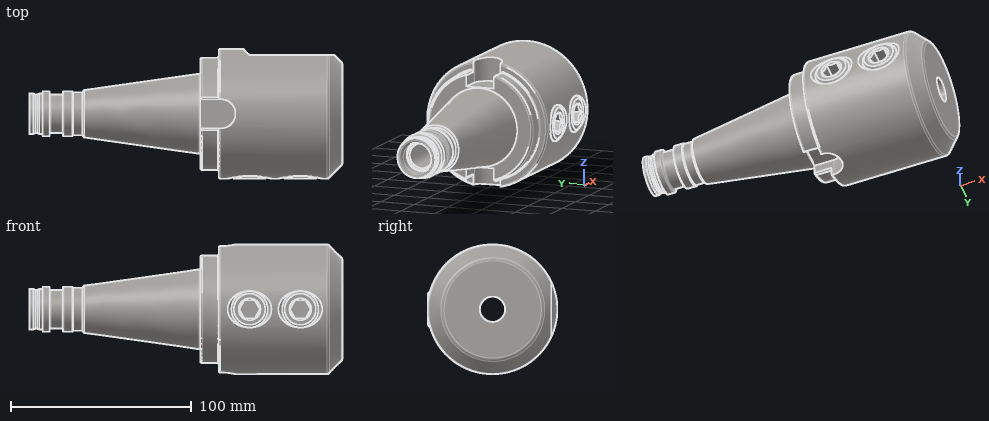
import cadquery as cq
import math

TOTAL_LENGTH = 173.4

TIP_RADIUS = 11.3
TIP_GROOVE_START = 2.0
TIP_GROOVE_END = 5.5
TIP_GROOVE_FLOOR_LENGTH = 1.0
TIP_GROOVE_DEPTH = 0.5
COLLAR_RADIUS = 12.5
COLLAR_EDGE_SIZE = 0.5
FRONT_COLLAR_START = 7.3
FRONT_COLLAR_END = 11.3
REAR_COLLAR_START = 18.5
REAR_COLLAR_END = 24.3
COLLAR_GROOVE_RADIUS = 10.8
NECK_RADIUS = 12.0
NECK_END = 29.3

TAPER_START = 30.3
GAUGE_PLANE = 93.8
GAUGE_RADIUS = 22.2
TAPER_START_RADIUS = 13.2

FLANGE_START = 94.7
FLANGE_RADIUS = 31.2
FLANGE_ROUNDING = 1.0
FLANGE_ROOT_FILLET = 0.5
BODY_START = 104.7
BODY_RADIUS = 35.98
BODY_ROUNDING = 1.0
NOSE_CONE_LENGTH = 8.0
NOSE_FACE_RADIUS = BODY_RADIUS - NOSE_CONE_LENGTH
NOSE_FILLET = 1.7
NOSE_FACE_FILLET = 2.6

BORE_RADIUS = 7.0
MOUTH_RADIUS = 8.5
MOUTH_LENGTH = 7.0
MOUTH_STEP_RADIUS = 7.8
MOUTH_FILLET = 1.5

SLOT_WIDTH = 16.1
SLOT_FLOOR = 22.5
SLOT_END = 114.1
SLOT_EDGE_CHAMFER = 1.4

FLAT_Y = 32.6
FLAT_START = 122.0
FLAT_RUNOUT_START = 118.6
FLAT_RUNOUT_RADIUS = 8.7

SCREW_POSITIONS = (121.9, 150.0)
SCREW_RADIUS = 10.0
SCREW_TOP_Y = -35.9
SCREW_LENGTH = 20.0
SCREW_CHAMFER = 1.4
HEX_ACROSS_FLATS = 10.0
HEX_DEPTH = 8.7
HEX_MOUTH_RADIUS = 6.0
SCREW_SINK_RADIUS = 12.1
SCREW_SINK_DEPTH = 1.5


def make_blank():
    groove_ramp = (TIP_GROOVE_END - TIP_GROOVE_START - TIP_GROOVE_FLOOR_LENGTH) / 2
    groove_floor = TIP_RADIUS - TIP_GROOVE_DEPTH
    size = COLLAR_EDGE_SIZE
    blank = (
        cq.Workplane("XY")
        .moveTo(0, 0)
        .lineTo(0, TIP_RADIUS)
        .lineTo(TIP_GROOVE_START, TIP_RADIUS)
        .lineTo(TIP_GROOVE_START + groove_ramp, groove_floor)
        .lineTo(TIP_GROOVE_END - groove_ramp, groove_floor)
        .lineTo(TIP_GROOVE_END, TIP_RADIUS)
        .lineTo(FRONT_COLLAR_START - size, TIP_RADIUS)
        .radiusArc((FRONT_COLLAR_START, TIP_RADIUS + size), -size)
        .lineTo(FRONT_COLLAR_START, COLLAR_RADIUS)
        .lineTo(FRONT_COLLAR_END - size, COLLAR_RADIUS)
        .radiusArc((FRONT_COLLAR_END, COLLAR_RADIUS - size), size)
        .lineTo(FRONT_COLLAR_END, COLLAR_GROOVE_RADIUS + size)
        .radiusArc((FRONT_COLLAR_END + size, COLLAR_GROOVE_RADIUS), -size)
        .lineTo(REAR_COLLAR_START - size, COLLAR_GROOVE_RADIUS)
        .radiusArc((REAR_COLLAR_START, COLLAR_GROOVE_RADIUS + size), -size)
        .lineTo(REAR_COLLAR_START, COLLAR_RADIUS - size)
        .radiusArc((REAR_COLLAR_START + size, COLLAR_RADIUS), size)
        .lineTo(REAR_COLLAR_END - size, COLLAR_RADIUS)
        .lineTo(REAR_COLLAR_END, NECK_RADIUS)
        .lineTo(NECK_END, NECK_RADIUS)
        .lineTo(TAPER_START, TAPER_START_RADIUS)
        .lineTo(GAUGE_PLANE, GAUGE_RADIUS)
        .lineTo(FLANGE_START, GAUGE_RADIUS)
        .lineTo(FLANGE_START, FLANGE_RADIUS - FLANGE_ROUNDING)
        .radiusArc((FLANGE_START + FLANGE_ROUNDING, FLANGE_RADIUS), FLANGE_ROUNDING)
        .lineTo(BODY_START - FLANGE_ROOT_FILLET, FLANGE_RADIUS)
        .radiusArc((BODY_START, FLANGE_RADIUS + FLANGE_ROOT_FILLET), -FLANGE_ROOT_FILLET)
        .lineTo(BODY_START, BODY_RADIUS - BODY_ROUNDING)
        .radiusArc((BODY_START + BODY_ROUNDING, BODY_RADIUS), BODY_ROUNDING)
        .lineTo(TOTAL_LENGTH - NOSE_CONE_LENGTH, BODY_RADIUS)
        .lineTo(TOTAL_LENGTH, NOSE_FACE_RADIUS)
        .lineTo(TOTAL_LENGTH, 0)
        .close()
        .revolve(360, (0, 0, 0), (1, 0, 0))
    )
    blank = blank.faces(">X").edges().fillet(NOSE_FACE_FILLET)
    return blank.edges(cq.selectors.RadiusNthSelector(-1)).edges(">X").fillet(NOSE_FILLET)


def cut_bore(body):
    bore = cq.Workplane("YZ").circle(BORE_RADIUS).extrude(TOTAL_LENGTH)
    cone_end = MOUTH_LENGTH + MOUTH_STEP_RADIUS - BORE_RADIUS
    mouth = (
        cq.Workplane("XY")
        .moveTo(0, 0)
        .lineTo(0, MOUTH_RADIUS + MOUTH_FILLET)
        .radiusArc((MOUTH_FILLET, MOUTH_RADIUS), -MOUTH_FILLET)
        .lineTo(MOUTH_LENGTH, MOUTH_RADIUS)
        .lineTo(MOUTH_LENGTH, MOUTH_STEP_RADIUS)
        .lineTo(cone_end, BORE_RADIUS)
        .lineTo(cone_end, 0)
        .close()
        .revolve(360, (0, 0, 0), (1, 0, 0))
    )
    return body.cut(bore).cut(mouth)


def make_drive_slot():
    """Slot above the axis with a half-round end and chamfered edges across the flange."""
    half_width = SLOT_WIDTH / 2
    straight_end = SLOT_END - half_width
    slot = (
        cq.Workplane("XY", origin=(0, 0, SLOT_FLOOR))
        .moveTo(FLANGE_START, -half_width)
        .lineTo(straight_end, -half_width)
        .threePointArc((SLOT_END, 0), (straight_end, half_width))
        .lineTo(FLANGE_START, half_width)
        .close()
        .extrude(BODY_RADIUS - SLOT_FLOOR)
    )
    chamfer = SLOT_EDGE_CHAMFER
    edge_z = math.sqrt(FLANGE_RADIUS**2 - half_width**2)
    edge_chamfers = (
        cq.Workplane("YZ", origin=(FLANGE_START, 0, 0))
        .moveTo(-half_width, edge_z - chamfer)
        .lineTo(-half_width - 2 * chamfer, edge_z + chamfer)
        .lineTo(half_width + 2 * chamfer, edge_z + chamfer)
        .lineTo(half_width, edge_z - chamfer)
        .close()
        .extrude(BODY_START - FLANGE_START)
    )
    return slot.union(edge_chamfers)


def cut_drive_slots(body):
    slot = make_drive_slot()
    return body.cut(slot).cut(slot.mirror("XY"))


def cut_balancing_flat(body):
    flat = (
        cq.Workplane("XY")
        .moveTo(FLAT_RUNOUT_START, BODY_RADIUS)
        .radiusArc((FLAT_START, FLAT_Y), -FLAT_RUNOUT_RADIUS)
        .lineTo(TOTAL_LENGTH, FLAT_Y)
        .lineTo(TOTAL_LENGTH, BODY_RADIUS)
        .close()
        .extrude(BODY_RADIUS, both=True)
    )
    return body.cut(flat)


def cut_screw_hole(body, x):
    """Blind hole for one screw, with a shallow countersink at the body surface."""
    hole_bottom = SCREW_TOP_Y + SCREW_LENGTH
    hole = (
        cq.Workplane("XY", origin=(x, 0, 0))
        .moveTo(0, -BODY_RADIUS)
        .lineTo(SCREW_SINK_RADIUS, -BODY_RADIUS)
        .lineTo(SCREW_RADIUS, -BODY_RADIUS + SCREW_SINK_DEPTH)
        .lineTo(SCREW_RADIUS, hole_bottom)
        .lineTo(0, hole_bottom)
        .close()
        .revolve(360, (0, 0, 0), (0, 1, 0))
    )
    return body.cut(hole)


def make_holder():
    body = cut_bore(make_blank())
    body = cut_drive_slots(body)
    body = cut_balancing_flat(body)
    for x in SCREW_POSITIONS:
        body = cut_screw_hole(body, x)
    return body


def make_screw(x):
    """Set screw with a chamfered outer end and a hexagon socket, corners along X."""
    hex_corner_diameter = HEX_ACROSS_FLATS / math.cos(math.pi / 6)
    mouth_depth = HEX_MOUTH_RADIUS - HEX_ACROSS_FLATS / 2
    top = cq.Workplane("XZ", origin=(x, SCREW_TOP_Y, 0))
    shank = top.circle(SCREW_RADIUS).extrude(-SCREW_LENGTH).faces("<Y").chamfer(SCREW_CHAMFER)
    socket = top.polygon(6, hex_corner_diameter).extrude(-HEX_DEPTH)
    mouth = top.circle(HEX_MOUTH_RADIUS).extrude(-mouth_depth, taper=45)
    return shank.cut(socket).cut(mouth)


holder = make_holder()
screws = [make_screw(x) for x in SCREW_POSITIONS]

result = cq.Compound.makeCompound([holder.val(), *[screw.val() for screw in screws]])